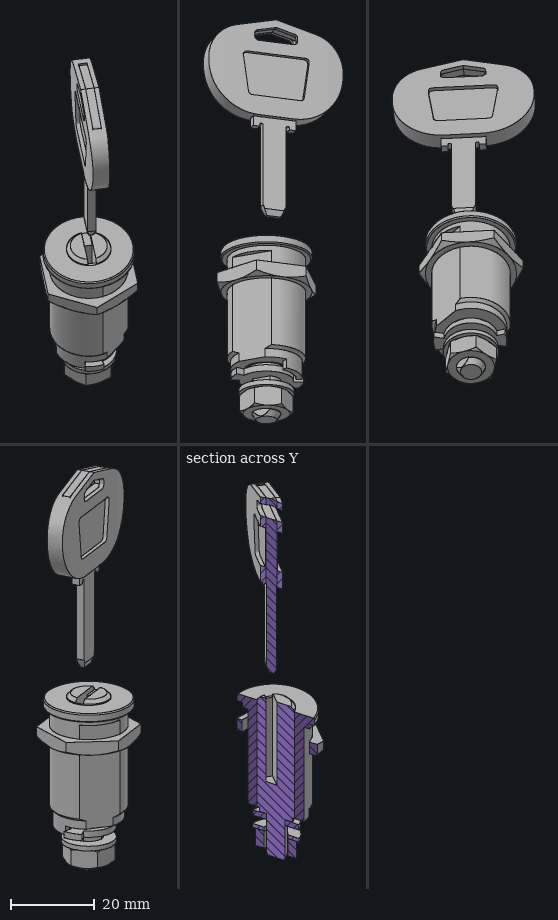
import cadquery as cq
import math


key_turn = -45.0
key_shift = 1.7
key_top = 102.0

head_half_width = 16.98
head_thickness = 4.5
head_edge_thickness = 4.1
taper_start = 13.0
shoulder_radius = 9.2
lower_radius = 12.4
lower_centre_z = 89.6
shoulder_centre_z = 90.6
head_bottom = lower_centre_z - lower_radius

ring_hole_half_width = 5.4
ring_hole_bottom = 96.2
ring_hole_peak = 100.0
ring_hole_fillet = 1.0
plate_hole_half_width = 7.1

panel_top = 93.0
panel_bottom = 82.0
panel_top_half = 8.5
panel_bottom_half = 6.9
panel_depth = 1.0
panel_fillet = 1.0

blade_thickness = 2.0
blade_width = 5.8
blade_tip = 52.2
plate_half_width = 10.7
plate_bottom = 81.6
plate_fillet = 1.6
collar_half_width = 5.4
collar_bottom = 74.7
relief_width = 0.8
relief_height = 0.8
tip_width = 3.7
tip_width_taper = 2.4
tip_thickness = 1.0
tip_thickness_taper = 1.5

flange_radius = 10.9
flange_top = 43.4
flange_bottom = 41.1
flange_chamfer = 0.3
body_radius = 9.4
body_bottom = 15.7
flat_top = 39.8
flat_distance = 7.9
neck_radius = 8.6
neck_top = 15.0
neck_bottom = 12.9
tab_inner_radius = 7.0
tab_bottom = 10.6
tab_half_angle = 30.0
tab_angle = -90.0

plug_radius = 5.3
cap_top = 44.6
cap_chamfer = 0.9
slot_depth = cap_top - flange_top
hub_radius = 4.8
shaft_radius = 3.5
shaft_flat_distance = 2.7
shaft_chamfer = 0.9
shaft_chamfer_height = 1.5

cam_top = 11.6
cam_bottom = 10.0
cam_radius = 6.5
lug_half_angle = 15.0
stop_lug_radius = 9.0
rear_lug_radius = 8.6
stop_lug_angle = tab_angle + tab_half_angle + lug_half_angle
rear_lug_angle = stop_lug_angle + 180.0

mount_nut_flats = 21.7
mount_nut_top = 36.2
mount_nut_bottom = 32.7
mount_nut_turn = 15.0

washer_radius = 6.6
washer_top = 7.8
washer_bottom = 6.5
shaft_nut_flats = 11.2
shaft_nut_bottom = 1.6

nut_chamfer_angle = 30.0
hex_sides = 6


def cylinder(radius, bottom, top):
    return cq.Workplane("XY").workplane(offset=bottom).circle(radius).extrude(top - bottom)


def upright_box(half_width, depth, bottom, top):
    """A box centred on the Z axis in X and Y."""
    box = cq.Workplane("XY").workplane(offset=bottom)
    return box.rect(2 * half_width, depth).extrude(top - bottom)


def sector(inner_radius, outer_radius, bottom, top, direction, half_angle):
    """A piece of a ring between two radial walls."""
    def at(radius, angle):
        turn = math.radians(direction + angle)
        return radius * math.cos(turn), radius * math.sin(turn)

    outline = (
        cq.Workplane("XY").workplane(offset=bottom)
        .moveTo(*at(inner_radius, -half_angle))
        .lineTo(*at(outer_radius, -half_angle))
        .threePointArc(at(outer_radius, 0), at(outer_radius, half_angle))
        .lineTo(*at(inner_radius, half_angle))
        .threePointArc(at(inner_radius, 0), at(inner_radius, -half_angle))
        .close()
    )
    return outline.extrude(top - bottom)


shoulder_x = head_half_width - shoulder_radius
peak_distance = math.hypot(shoulder_x, key_top - shoulder_centre_z)
peak_to_centre = math.atan2(key_top - shoulder_centre_z, shoulder_x)
roof_angle = peak_to_centre - math.asin(shoulder_radius / peak_distance)
roof_slope = math.tan(roof_angle)


def roof_polygon(half_width, bottom, peak, thickness):
    """A rectangle with a roof of the head's slope, centred on the XZ plane."""
    eaves = peak - half_width * roof_slope
    points = [(-half_width, bottom), (half_width, bottom), (half_width, eaves), (0, peak), (-half_width, eaves)]
    return cq.Workplane("XZ").polyline(points).close().extrude(thickness / 2, both=True)


def plate_blank():
    return roof_polygon(plate_half_width, plate_bottom, key_top, blade_thickness)


def collar():
    return upright_box(collar_half_width, blade_thickness, collar_bottom, plate_bottom)


def head_outline():
    diagonal = math.sqrt(0.5)
    lower_x = head_half_width - lower_radius
    tangent_x = shoulder_x + shoulder_radius * math.sin(roof_angle)
    tangent_z = shoulder_centre_z + shoulder_radius * math.cos(roof_angle)
    mid_angle = (math.pi / 2 - roof_angle) / 2
    shoulder_mid = (
        shoulder_x + shoulder_radius * math.cos(mid_angle),
        shoulder_centre_z + shoulder_radius * math.sin(mid_angle),
    )
    lower_mid = (lower_x + lower_radius * diagonal, lower_centre_z - lower_radius * diagonal)
    return (
        cq.Workplane("XZ")
        .moveTo(0, key_top)
        .lineTo(tangent_x, tangent_z)
        .threePointArc(shoulder_mid, (head_half_width, shoulder_centre_z))
        .lineTo(head_half_width, lower_centre_z)
        .threePointArc(lower_mid, (lower_x, head_bottom))
        .lineTo(-lower_x, head_bottom)
        .threePointArc((-lower_mid[0], lower_mid[1]), (-head_half_width, lower_centre_z))
        .lineTo(-head_half_width, shoulder_centre_z)
        .threePointArc((-shoulder_mid[0], shoulder_mid[1]), (-tangent_x, tangent_z))
        .close()
    )


def head_taper():
    """Plan shape of the head: parallel faces that draw in towards both ends."""
    middle = head_thickness / 2
    end = head_edge_thickness / 2
    points = [
        (-head_half_width, -end), (-taper_start, -middle), (taper_start, -middle), (head_half_width, -end),
        (head_half_width, end), (taper_start, middle), (-taper_start, middle), (-head_half_width, end),
    ]
    plan = cq.Workplane("XY").workplane(offset=head_bottom).polyline(points).close()
    return plan.extrude(key_top - head_bottom)


def panel_recess():
    """Both panels, as one trapezoid block less the core that stays between them."""
    points = [
        (-panel_top_half, panel_top), (panel_top_half, panel_top),
        (panel_bottom_half, panel_bottom), (-panel_bottom_half, panel_bottom),
    ]
    panels = cq.Workplane("XZ").polyline(points).close().extrude(head_thickness / 2, both=True)
    panels = panels.edges("|Y").fillet(panel_fillet)
    core_thickness = head_thickness - 2 * panel_depth
    return panels.cut(upright_box(head_half_width, core_thickness, head_bottom, key_top))


def place_key(body):
    moved = body.translate((key_shift, 0, 0))
    return moved.rotate((0, 0, 0), (0, 0, 1), key_turn)


def make_key_head():
    head = head_outline().extrude(head_thickness / 2, both=True).intersect(head_taper())
    ring_hole = roof_polygon(ring_hole_half_width, ring_hole_bottom, ring_hole_peak, head_thickness)
    head = head.cut(ring_hole.edges("|Y").edges("<X or >X").fillet(ring_hole_fillet))
    head = head.cut(panel_recess())
    return place_key(head.cut(plate_blank()).cut(collar()))


def blade_tip_limit():
    """Wedge-ended bar that gives the blade its tapered tip."""
    half_width = blade_width / 2
    half_thickness = blade_thickness / 2
    front = [
        (-half_width, plate_bottom), (-half_width, blade_tip + tip_width_taper), (-tip_width / 2, blade_tip),
        (tip_width / 2, blade_tip), (half_width, blade_tip + tip_width_taper), (half_width, plate_bottom),
    ]
    side = [
        (-half_thickness, plate_bottom), (-half_thickness, blade_tip + tip_thickness_taper),
        (-tip_thickness / 2, blade_tip), (tip_thickness / 2, blade_tip),
        (half_thickness, blade_tip + tip_thickness_taper), (half_thickness, plate_bottom),
    ]
    bar = cq.Workplane("XZ").polyline(front).close().extrude(half_thickness, both=True)
    return bar.intersect(cq.Workplane("YZ").polyline(side).close().extrude(half_width, both=True))


def blade_relief(side):
    """Round-topped notch beside the blade; side is -1 or 1."""
    inner = side * blade_width / 2
    outer = side * (blade_width / 2 + relief_width)
    spring = collar_bottom + relief_height - relief_width / 2
    crown = ((inner + outer) / 2, collar_bottom + relief_height)
    outline = (
        cq.Workplane("XZ")
        .moveTo(inner, collar_bottom)
        .lineTo(inner, spring)
        .threePointArc(crown, (outer, spring))
        .lineTo(outer, collar_bottom)
        .close()
    )
    return outline.extrude(blade_thickness / 2, both=True)


def make_key_blade():
    plate = plate_blank().edges("|Y").edges(">X or <X").edges(">Z").fillet(plate_fillet)
    plate = plate.cut(roof_polygon(plate_hole_half_width, ring_hole_bottom, ring_hole_peak, blade_thickness))
    shank = collar()
    for side in (-1, 1):
        shank = shank.cut(blade_relief(side))
    return place_key(plate.union(shank).union(blade_tip_limit()))


def side_flats(distance, radius, bottom, top):
    """The two slabs that lie outside a pair of flats facing -X and +X."""
    slabs = upright_box(2 * radius, 4 * radius, bottom, top)
    return slabs.cut(upright_box(distance, 4 * radius, bottom, top))


def make_housing():
    profile = [
        (plug_radius, neck_bottom), (tab_inner_radius, neck_bottom), (tab_inner_radius, tab_bottom),
        (neck_radius, tab_bottom), (neck_radius, neck_top), (body_radius, body_bottom),
        (body_radius, flange_bottom), (plug_radius, flange_bottom),
    ]
    barrel = cq.Workplane("XZ").polyline(profile).close().revolve(360, (0, 0, 0), (0, 1, 0))
    barrel = barrel.cut(side_flats(flat_distance, body_radius, tab_bottom, flat_top))
    beside_tab = sector(
        plug_radius, body_radius, tab_bottom, neck_bottom, tab_angle + 180, 180 - tab_half_angle
    )
    flange = cylinder(flange_radius, flange_bottom, flange_top).edges("%CIRCLE").chamfer(flange_chamfer)
    flange = flange.cut(cylinder(plug_radius, flange_bottom, flange_top))
    return barrel.cut(beside_tab).union(flange)


def shaft(top):
    rod = cylinder(shaft_radius, 0, top)
    rod = rod.faces("<Z").chamfer(shaft_chamfer_height, shaft_chamfer)
    return rod.cut(side_flats(shaft_flat_distance, shaft_radius, 0, top))


def make_plug():
    plug = cylinder(plug_radius, neck_bottom, cap_top).faces(">Z").chamfer(cap_chamfer)
    plug = plug.union(cylinder(hub_radius, cam_top, neck_bottom)).union(shaft(cam_top))
    cap_slot = upright_box(2 * plug_radius, blade_thickness, cap_top - slot_depth, cap_top)
    blade_pocket = upright_box(
        blade_width / 2, blade_thickness, flange_top - (collar_bottom - blade_tip), flange_top
    )
    return plug.cut(place_key(cap_slot)).cut(place_key(blade_pocket))


def make_stop_cam():
    cam = cylinder(cam_radius, cam_bottom, cam_top)
    for lug_radius, lug_angle in ((stop_lug_radius, stop_lug_angle), (rear_lug_radius, rear_lug_angle)):
        cam = cam.union(
            sector(shaft_radius, lug_radius, cam_bottom, cam_top, lug_angle, lug_half_angle)
        )
    return cam.cut(shaft(cam_top))


def hex_nut(flats, bore_radius, bottom, top, turn, turned_faces):
    """Hexagonal nut whose corners are turned off on the listed faces."""
    corner_radius = flats / 2 / math.cos(math.pi / hex_sides)
    blank = cq.Workplane("XY").workplane(offset=bottom).polygon(hex_sides, 2 * corner_radius)
    blank = blank.extrude(top - bottom).rotate((0, 0, 0), (0, 0, 1), turn)
    setback = corner_radius - flats / 2
    drop = setback * math.tan(math.radians(nut_chamfer_angle))
    limit = cylinder(corner_radius, bottom, top)
    for face in turned_faces:
        limit = limit.faces(face).chamfer(drop, setback)
    return blank.intersect(limit).cut(cylinder(bore_radius, bottom, top))


def make_washer():
    return cylinder(washer_radius, washer_bottom, washer_top).cut(
        cylinder(shaft_radius, washer_bottom, washer_top)
    )


key_head = make_key_head()
key_blade = make_key_blade()
housing = make_housing()
plug = make_plug()
stop_cam = make_stop_cam()
mounting_nut = hex_nut(
    mount_nut_flats, body_radius, mount_nut_bottom, mount_nut_top, mount_nut_turn, ["<Z"]
)
washer = make_washer()
shaft_nut = hex_nut(shaft_nut_flats, shaft_radius, shaft_nut_bottom, washer_bottom, 0, ["<Z", ">Z"])

result = cq.Compound.makeCompound([
    key_head.val(), key_blade.val(), housing.val(), plug.val(),
    stop_cam.val(), mounting_nut.val(), washer.val(), shaft_nut.val(),
])